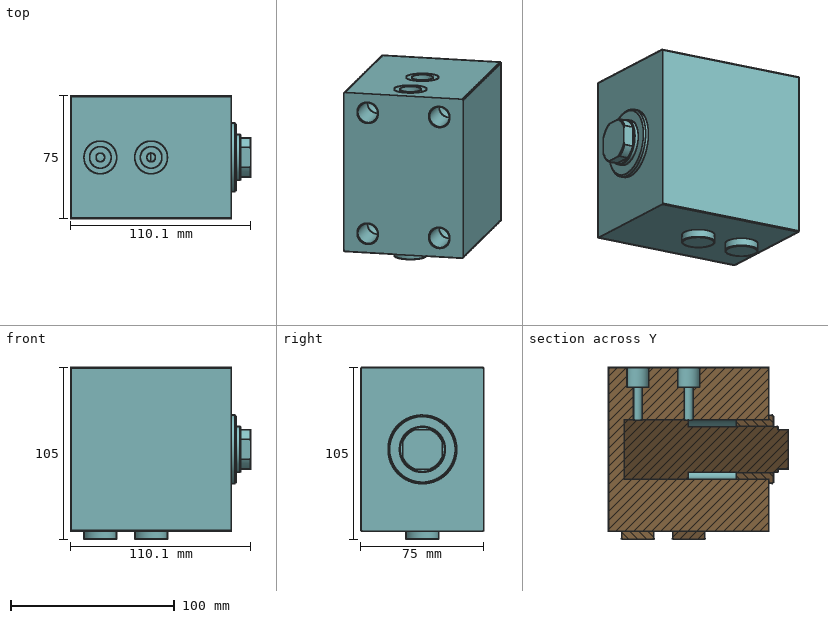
import cadquery as cq
import math


block_length = 98.0
block_width = 75.0
block_height = 100.0
block_chamfer = 0.5

bore_diameter = 36.0
bore_start = 10.0
mount_hole_diameter = 12.4
mount_hole_depth = 25.0
mount_hole_chamfer = 0.4
mount_tip_angle = 118
mount_spacing_y = 45.0
mount_spacing_z = 76.0

port_x = 18.0
port_pitch = 31.0
port_positions = [port_x, port_x + port_pitch]
spotface_diameter = 20.0
spotface_depth = 0.1
port_diameter = 13.2
port_depth = 12.0
feed_diameter = 5.3

plug_diameter = spotface_diameter
plug_height = 5.0
plug_chamfer = 0.4

flange_diameter = 42.0
flange_thickness = 3.0
flange_chamfer = 1.0
spigot_length = 20.0

piston_end = 49.0
rod_diameter = 28.0
rod_projection = 2.8
rod_chamfer = 0.4
wrench_length = 6.3
wrench_diameter = 27.0
wrench_across_flats = 24.0
wrench_chamfer = 0.5

flange_end = block_length + flange_thickness
rod_shoulder = flange_end + rod_projection


def x_cylinder(diameter, start, end):
    """Cylinder on the piston axis between two X positions."""
    return cq.Workplane("YZ", origin=(start, 0, 0)).circle(diameter / 2).extrude(end - start)


def z_cylinder(diameter, x, bottom, top):
    """Upright cylinder at a given X between two Z positions."""
    return cq.Workplane("XY", origin=(x, 0, bottom)).circle(diameter / 2).extrude(top - bottom)


def make_mount_hole():
    """Cutter for one chamfered blind hole with a drill-point bottom, on the X axis."""
    radius = mount_hole_diameter / 2
    tip_length = radius / math.tan(math.radians(mount_tip_angle / 2))
    return (
        cq.Workplane("XY")
        .polyline(
            [
                (0, 0),
                (0, radius + mount_hole_chamfer),
                (mount_hole_chamfer, radius),
                (mount_hole_depth, radius),
                (mount_hole_depth + tip_length, 0),
            ]
        )
        .close()
        .revolve(360, (0, 0, 0), (1, 0, 0))
    )


def make_port(x):
    """Cutter for one oil port: spotface, port hole and feed drilling down to the bore."""
    top = block_height / 2
    spotface = z_cylinder(spotface_diameter, x, top - spotface_depth, top)
    port_hole = z_cylinder(port_diameter, x, top - port_depth, top)
    feed = z_cylinder(feed_diameter, x, 0, top)
    return spotface.union(port_hole).union(feed)


def make_block():
    block = cq.Workplane("XY").box(block_length, block_width, block_height, centered=(False, True, True))
    block = block.edges("|X").chamfer(block_chamfer)

    mount_hole = make_mount_hole()
    for y in (-mount_spacing_y / 2, mount_spacing_y / 2):
        for z in (-mount_spacing_z / 2, mount_spacing_z / 2):
            block = block.cut(mount_hole.translate((0, y, z)))

    for x in port_positions:
        block = block.cut(make_port(x))
    return block.cut(x_cylinder(bore_diameter, bore_start, block_length))


def make_gland():
    flange = x_cylinder(flange_diameter, block_length, flange_end).faces(">X").chamfer(flange_chamfer)
    spigot = x_cylinder(bore_diameter, block_length - spigot_length, block_length)
    rod_hole = x_cylinder(rod_diameter, block_length - spigot_length, flange_end)
    return flange.union(spigot).cut(rod_hole)


def make_piston_rod():
    piston = x_cylinder(bore_diameter, bore_start, piston_end)
    rod = x_cylinder(rod_diameter, piston_end, rod_shoulder).faces(">X").chamfer(rod_chamfer)

    wrench_end = x_cylinder(wrench_diameter, rod_shoulder, rod_shoulder + wrench_length)
    wrench_end = wrench_end.faces(">X").chamfer(wrench_chamfer)
    flats = (
        cq.Workplane("YZ", origin=(rod_shoulder, 0, 0))
        .rect(wrench_across_flats, wrench_across_flats)
        .extrude(wrench_length)
    )
    return piston.union(rod).union(wrench_end.intersect(flats))


def make_plug(x):
    bottom = -block_height / 2 - plug_height
    plug = z_cylinder(plug_diameter, x, bottom, -block_height / 2)
    return plug.faces("<Z").chamfer(plug_chamfer)


block = make_block()
gland = make_gland()
piston_rod = make_piston_rod()
plugs = [make_plug(x) for x in port_positions]

result = cq.Compound.makeCompound(
    [block.val(), gland.val(), piston_rod.val(), *[plug.val() for plug in plugs]]
)